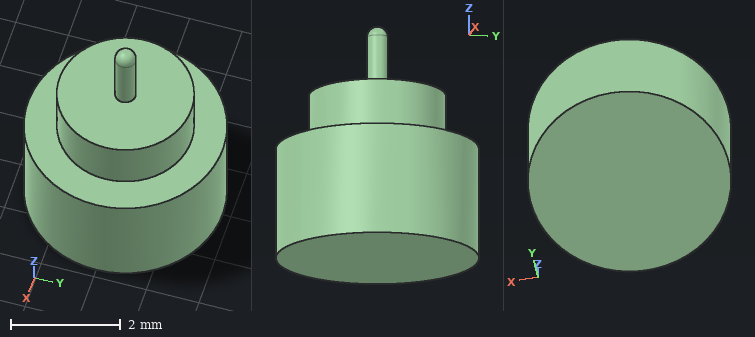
import cadquery as cq

total_height = 4.35
base_diameter = 3.7
base_height = 2.055
collar_diameter = 2.5
collar_height = 0.995
pin_diameter = 0.383

pin_radius = pin_diameter / 2
collar_top = base_height + collar_height
dome_start = total_height - pin_radius


def cylinder(diameter, bottom, top):
    """Upright cylinder on the Z axis between two heights."""
    return cq.Workplane("XY").workplane(offset=bottom).circle(diameter / 2).extrude(top - bottom)


base = cylinder(base_diameter, 0, base_height)
collar = cylinder(collar_diameter, base_height, collar_top)

pin_shank = cylinder(pin_diameter, collar_top, dome_start)
pin_tip = cq.Workplane("XY").sphere(pin_radius).translate((0, 0, dome_start))

result = base.union(collar).union(pin_shank).union(pin_tip)